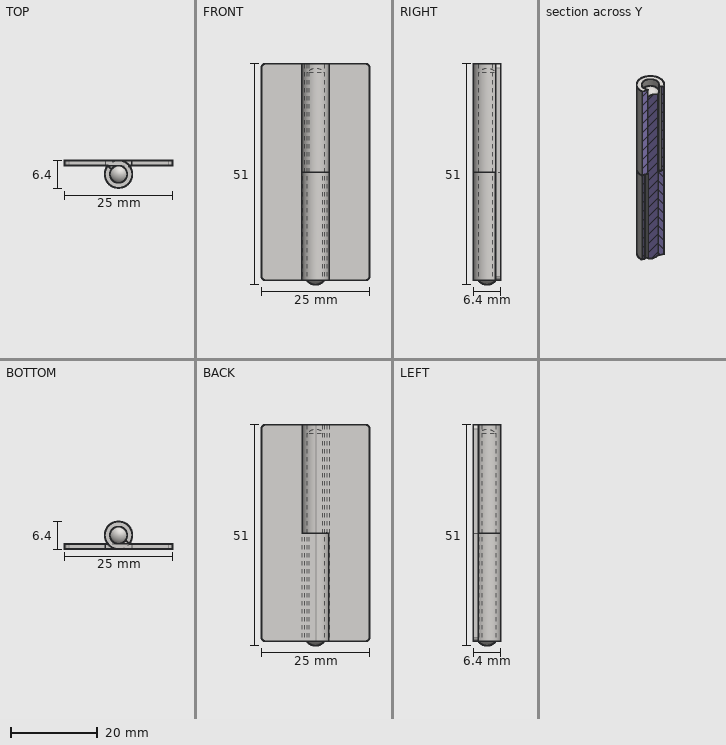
import cadquery as cq
import math

width = 25.0
knuckle_diameter = 6.4
bore_diameter = 4.0
total_height = 51.0
dome_height = 1.0
pin_recess = 1.0
notch_reach = 3.0
corner_radius = 1.0
curl_end_angle = 37.0

outer_radius = knuckle_diameter / 2
bore_radius = bore_diameter / 2
thickness = outer_radius - bore_radius
leaf_height = total_height - dome_height
knuckle_height = leaf_height / 2


def polar_point(radius, degrees):
    angle = math.radians(degrees)
    return (radius * math.cos(angle), radius * math.sin(angle))


def make_plate():
    """Flat leaf left of the axis, with rounded free corners and a notch in its lower half."""
    plate = (
        cq.Workplane("XY")
        .box(width / 2, thickness, leaf_height, centered=False)
        .translate((-width / 2, bore_radius, 0))
        .edges("|Y and <X")
        .fillet(corner_radius)
    )
    notch = (
        cq.Workplane("XY")
        .box(notch_reach, thickness, knuckle_height, centered=False)
        .translate((-notch_reach, bore_radius, 0))
    )
    return plate.cut(notch)


def make_curl():
    """Knuckle rolled from the leaf edge, clockwise around the axis to the underside of the leaf."""
    end_angle = 180 - curl_end_angle
    middle_angle = (90 + end_angle - 360) / 2
    return (
        cq.Workplane("XY", origin=(0, 0, knuckle_height))
        .moveTo(0, outer_radius)
        .threePointArc(polar_point(outer_radius, middle_angle), polar_point(outer_radius, end_angle))
        .lineTo(*polar_point(bore_radius, end_angle))
        .threePointArc(polar_point(bore_radius, middle_angle), (0, bore_radius))
        .close()
        .extrude(knuckle_height)
    )


def make_leaf():
    """Left leaf with its knuckle in the upper half."""
    return make_plate().union(make_curl())


def make_pin():
    """Round pin filling the bores, domed at both ends."""
    bottom = -dome_height
    top = leaf_height - pin_recess
    dome_radius = (bore_radius**2 + dome_height**2) / (2 * dome_height)
    dome_half_angle = math.asin(bore_radius / dome_radius) / 2
    arc_x = dome_radius * math.sin(dome_half_angle)
    arc_drop = dome_radius * (1 - math.cos(dome_half_angle))
    return (
        cq.Workplane("XZ")
        .moveTo(0, bottom)
        .threePointArc((arc_x, bottom + arc_drop), (bore_radius, bottom + dome_height))
        .lineTo(bore_radius, top - dome_height)
        .threePointArc((arc_x, top - arc_drop), (0, top))
        .close()
        .revolve(360, (0, 0), (0, 1))
    )


left_leaf = make_leaf()
right_leaf = make_leaf().rotate((0, 0, knuckle_height), (0, 1, knuckle_height), 180)
pin = make_pin()

result = cq.Compound.makeCompound([left_leaf.val(), right_leaf.val(), pin.val()])